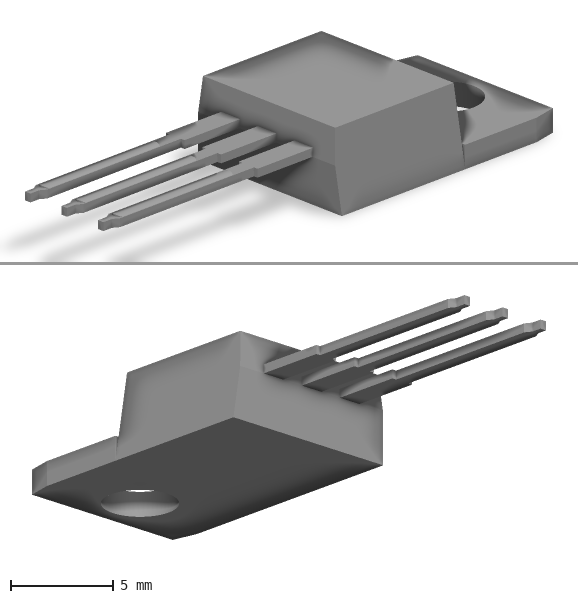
import cadquery as cq
import math


package_width = 10.0
package_length = 28.84
package_height = 4.58

tab_length = 6.3
tab_thickness = 1.3
tab_corner_length = 1.4
tab_corner_width = 0.3
tab_hole_diameter = 3.83
tab_hole_from_end = 2.7
tab_neck_width = 6.25
tab_neck_length = 4.0

draft_angle = 5.0
parting_height = 2.67
parting_length = 8.68
draft_slope = math.tan(math.radians(draft_angle))

lead_count = 3
lead_pitch = 2.54
lead_thickness = 0.47
lead_embedded_length = 2.0
lead_wide_width = 1.3
lead_narrow_width = 0.8
lead_tip_width = 0.37
lead_wide_length = 3.76
lead_crown_offset = 1.3
lead_taper_length = 0.36
lead_tip_length = 0.58
lead_crown_width = 0.7
lead_crown_rise = 0.095
lead_crown_inner_bulge = 0.1
lead_crown_outer_bulge = 0.2

tip_end_y = tab_length - package_length
taper_end_y = tip_end_y + lead_tip_length
taper_start_y = taper_end_y + lead_taper_length
lead_root_y = lead_embedded_length - parting_length
shoulder_y = -parting_length - lead_wide_length
crown_start_y = shoulder_y - lead_crown_offset
lead_top = parting_height + lead_thickness


def make_tab():
    """Plate with cut rear corners, a screw hole and a narrower neck that enters the mould."""
    half_width = package_width / 2
    half_neck = tab_neck_width / 2
    right_side = [
        (half_neck, -tab_neck_length),
        (half_neck, 0),
        (half_width, 0),
        (half_width, tab_length - tab_corner_length),
        (half_width - tab_corner_width, tab_length),
    ]
    left_side = [(-x, y) for x, y in reversed(right_side)]
    plate = cq.Workplane("XY").polyline(right_side + left_side).close().extrude(tab_thickness)
    hole = (
        cq.Workplane("XY")
        .center(0, tab_length - tab_hole_from_end)
        .circle(tab_hole_diameter / 2)
        .extrude(tab_thickness)
    )
    return plate.cut(hole)


def make_crown(x):
    """Low round ridge along the lead, with both ends bowed outwards in plan."""
    half_width = lead_crown_width / 2
    ridge = (
        cq.Workplane("XZ", origin=(x, crown_start_y, lead_top))
        .moveTo(-half_width, 0)
        .threePointArc((0, lead_crown_rise), (half_width, 0))
        .close()
        .extrude(crown_start_y - taper_start_y)
    )
    inner_corner_y = crown_start_y - lead_crown_inner_bulge
    outer_corner_y = taper_start_y + lead_crown_outer_bulge
    plan = (
        cq.Workplane("XY", origin=(x, 0, lead_top))
        .moveTo(-half_width, outer_corner_y)
        .threePointArc((0, taper_start_y), (half_width, outer_corner_y))
        .lineTo(half_width, inner_corner_y)
        .threePointArc((0, crown_start_y), (-half_width, inner_corner_y))
        .close()
        .extrude(lead_crown_rise)
    )
    return ridge.intersect(plan)


def make_lead(x):
    """Stepped flat lead with a crown on its long narrow stretch and a tapered tip."""
    right_side = [
        (lead_wide_width / 2, lead_root_y),
        (lead_wide_width / 2, shoulder_y),
        (lead_narrow_width / 2, shoulder_y),
        (lead_narrow_width / 2, taper_start_y),
        (lead_tip_width / 2, taper_end_y),
        (lead_tip_width / 2, tip_end_y),
    ]
    left_side = [(-px, py) for px, py in reversed(right_side)]
    strip = (
        cq.Workplane("XY", origin=(x, 0, parting_height))
        .polyline(right_side + left_side)
        .close()
        .extrude(lead_thickness)
    )
    return strip.union(make_crown(x))


def make_mould(inserts):
    """Block with drafted sides and rear, and a front face drafted both ways from the parting edge."""
    front_foot_y = -parting_length + parting_height * draft_slope
    front_top_y = -parting_length + (package_height - parting_height) * draft_slope
    side_profile = [
        (0, 0),
        (-package_height * draft_slope, package_height),
        (front_top_y, package_height),
        (-parting_length, parting_height),
        (front_foot_y, 0),
    ]
    half_foot = package_width / 2
    half_top = half_foot - package_height * draft_slope
    front_profile = [
        (-half_foot, 0),
        (half_foot, 0),
        (half_top, package_height),
        (-half_top, package_height),
    ]
    lengthwise = (
        cq.Workplane("YZ").polyline(side_profile).close().extrude(half_foot, both=True)
    )
    crosswise = (
        cq.Workplane("XZ").polyline(front_profile).close().extrude(parting_length)
    )
    block = lengthwise.intersect(crosswise)
    for insert in inserts:
        block = block.cut(insert)
    return block


tab = make_tab()
leads = [make_lead((i - (lead_count - 1) / 2) * lead_pitch) for i in range(lead_count)]
mould = make_mould([tab, *leads])

result = cq.Compound.makeCompound([tab.val(), mould.val(), *[lead.val() for lead in leads]])